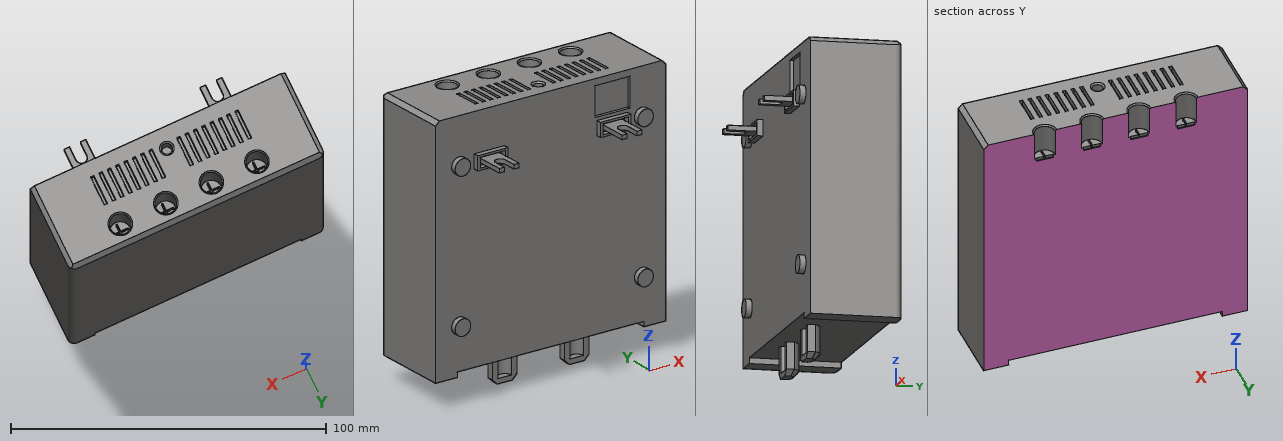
import cadquery as cq


CASE_WIDTH = 89.4
CASE_DEPTH = 30.1
CASE_HEIGHT = 89.8
BACK_FILLET = 2.3
TOP_CHAMFER = 1.5
FOOT_GAP_WIDTH = 72.4
FOOT_GAP_HEIGHT = 1.9

FRONT_RELIEF = 2.0
SPACER_DIAMETER = 6.0
SPACER_X = 35.5
SPACER_Z_LOW = 17.65
FORK_X = 23.9
FORK_Z = 72.7
FRAME_WIDTH = 11.8
FRAME_HEIGHT = 5.2
FRAME_OPENING_WIDTH = 9.8
FRAME_OPENING_HEIGHT = 3.7
FORK_WIDTH = 7.7
FORK_THICKNESS = 1.6
FORK_REACH = 10.9
FORK_SLOT_WIDTH = 3.7
FORK_SLOT_LENGTH = 6.7

LABEL_WIDTH = 13.6
LABEL_HEIGHT = 10.9
LABEL_X = 24.1
LABEL_Z = 81.9
LABEL_DEPTH = 1.2

WELL_COUNT = 4
WELL_PITCH = 16.0
WELL_Y = 23.0
WELL_DIAMETER = 6.9
WELL_RIM_DIAMETER = 7.8
WELL_DEPTH = 9.9
CROSS_LENGTH = 5.7
CROSS_WIDTH = 0.5
CROSS_DEPTH = 1.0
ADJUSTER_Y = 6.8
ADJUSTER_DIAMETER = 3.55
ADJUSTER_RIM_DIAMETER = 4.6
ADJUSTER_DEPTH = 4.9
VENT_COUNT = 8
VENT_ROW_SPAN = 20.4
VENT_PITCH = VENT_ROW_SPAN / (VENT_COUNT - 1)
VENT_WIDTH = 1.1
VENT_LENGTH = 10.2
VENT_DEPTH = 2.0
VENT_GROUP_X = 15.1
VENT_Y = 10.1

TAB_X = 14.0
TAB_WIDTH = 9.6
TAB_FRONT_Y = 5.4
TAB_SIDE_DEPTH = 2.6
TAB_DEPTH = 5.1
TAB_REACH = 8.8
TAB_CHAMFER = 1.9
TAB_GROOVE_WIDTH = 5.2
TAB_GROOVE_FLOOR = 1.9


def block(width, depth, height, x, y, z):
    """Box centred on x and z whose depth runs from y toward +Y."""
    return cq.Workplane("XY").box(width, depth, height, centered=(True, False, True)).translate((x, y, z))


def case():
    """Open-ended foot gap below; mitred top bevels trimmed by the rounded upright back edges."""
    blank = cq.Workplane("XY").box(CASE_WIDTH, CASE_DEPTH, CASE_HEIGHT, centered=(True, False, False))
    bevelled = blank.faces(">Z").edges("not(<Y)").chamfer(TOP_CHAMFER)
    rounded = blank.edges("|Z and >Y").fillet(BACK_FILLET)
    return bevelled.intersect(rounded).cut(block(FOOT_GAP_WIDTH, CASE_DEPTH, 2 * FOOT_GAP_HEIGHT, 0, 0, 0))


def spacer(x, z):
    disc = cq.Workplane("XZ").circle(SPACER_DIAMETER / 2).extrude(FRONT_RELIEF)
    return disc.translate((x, 0, z))


def fork_terminal(x):
    frame = block(FRAME_WIDTH, FRONT_RELIEF, FRAME_HEIGHT, x, -FRONT_RELIEF, FORK_Z)
    opening = block(FRAME_OPENING_WIDTH, FRONT_RELIEF, FRAME_OPENING_HEIGHT, x, -FRONT_RELIEF, FORK_Z)
    blade = block(FORK_WIDTH, FORK_REACH, FORK_THICKNESS, x, -FORK_REACH, FORK_Z)
    slot_radius = FORK_SLOT_WIDTH / 2
    slot_end_y = FORK_SLOT_LENGTH - FORK_REACH
    slot = (
        cq.Workplane("XY", origin=(x, 0, FORK_Z - FORK_THICKNESS / 2))
        .moveTo(-slot_radius, -FORK_REACH)
        .lineTo(-slot_radius, slot_end_y - slot_radius)
        .threePointArc((0, slot_end_y), (slot_radius, slot_end_y - slot_radius))
        .lineTo(slot_radius, -FORK_REACH)
        .close()
        .extrude(FORK_THICKNESS)
    )
    return frame.cut(opening).union(blade.cut(slot))


def countersunk_hole(x, y, diameter, rim_diameter, depth):
    """Blind hole into the top face with a 45-degree rim."""
    rim = (rim_diameter - diameter) / 2
    hole = cq.Workplane("XY", origin=(x, y, CASE_HEIGHT - depth)).circle(diameter / 2).extrude(depth)
    cone = cq.Workplane("XY", origin=(x, y, CASE_HEIGHT)).circle(rim_diameter / 2).extrude(-rim, taper=45)
    return hole.union(cone)


def screw_well(x):
    """Countersunk well with a cross recess sunk into its floor."""
    well = countersunk_hole(x, WELL_Y, WELL_DIAMETER, WELL_RIM_DIAMETER, WELL_DEPTH)
    floor = cq.Workplane("XY", origin=(x, WELL_Y, CASE_HEIGHT - WELL_DEPTH))
    bar = floor.rect(CROSS_LENGTH, CROSS_WIDTH).extrude(-CROSS_DEPTH)
    crossbar = floor.rect(CROSS_WIDTH, CROSS_LENGTH).extrude(-CROSS_DEPTH)
    return well.union(bar).union(crossbar)


def vent_group(x):
    return (
        cq.Workplane("XY", origin=(x, VENT_Y, CASE_HEIGHT))
        .rarray(VENT_PITCH, 1, VENT_COUNT, 1)
        .rect(VENT_WIDTH, VENT_LENGTH)
        .extrude(-VENT_DEPTH)
    )


def hook_tab(x):
    """Tab with a bowed back, a bevelled lower end and a round groove in its front."""
    half_width = TAB_WIDTH / 2
    tab = (
        cq.Workplane("XY", origin=(x, TAB_FRONT_Y, -TAB_REACH))
        .moveTo(-half_width, 0)
        .lineTo(-half_width, TAB_SIDE_DEPTH)
        .threePointArc((0, TAB_DEPTH), (half_width, TAB_SIDE_DEPTH))
        .lineTo(half_width, 0)
        .close()
        .extrude(TAB_REACH + FOOT_GAP_HEIGHT)
    )
    tab = tab.faces("<Z").edges("not(<Y)").chamfer(TAB_CHAMFER)
    groove = (
        cq.Workplane("XY", origin=(x, TAB_FRONT_Y, TAB_GROOVE_FLOOR - TAB_REACH))
        .circle(TAB_GROOVE_WIDTH / 2)
        .extrude(TAB_REACH + FOOT_GAP_HEIGHT - TAB_GROOVE_FLOOR)
    )
    return tab.cut(groove)


result = case()

for side in (-1, 1):
    for spacer_z in (SPACER_Z_LOW, FORK_Z):
        result = result.union(spacer(side * SPACER_X, spacer_z))
    result = result.union(fork_terminal(side * FORK_X))
    result = result.union(hook_tab(side * TAB_X))
    result = result.cut(vent_group(side * VENT_GROUP_X))

result = result.cut(block(LABEL_WIDTH, LABEL_DEPTH, LABEL_HEIGHT, LABEL_X, 0, LABEL_Z))

for index in range(WELL_COUNT):
    result = result.cut(screw_well((index - (WELL_COUNT - 1) / 2) * WELL_PITCH))

result = result.cut(
    countersunk_hole(0, ADJUSTER_Y, ADJUSTER_DIAMETER, ADJUSTER_RIM_DIAMETER, ADJUSTER_DEPTH)
)